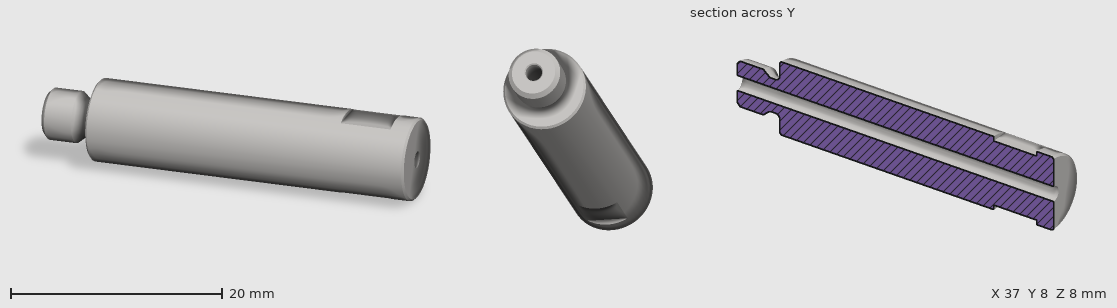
import cadquery as cq
import math

total_length = 37.0
body_diameter = 8.0
body_chamfer = 0.2

spigot_diameter = 5.0
spigot_length = 5.0
spigot_chamfer = 0.4
spigot_land_end = 3.1
neck_diameter = 3.7
neck_fillet = 0.48
runout_angle = math.radians(40)

bore_diameter = 1.6
bore_chamfer = 0.1

flat_spacing = 7.0
flat_length = 5.0
flat_end_distance = 2.0

body_radius = body_diameter / 2
spigot_radius = spigot_diameter / 2
neck_radius = neck_diameter / 2


def fillet_point(center_x, angle):
    """Point on a neck fillet, at an angle from straight down (positive towards +X)."""
    return (
        center_x + neck_fillet * math.sin(angle),
        neck_radius + neck_fillet * (1 - math.cos(angle)),
    )


def turned_pin():
    """Revolve the half profile of spigot, undercut and body."""
    fillet_rise = neck_fillet * (1 - math.cos(runout_angle))
    cone_length = (spigot_radius - neck_radius - fillet_rise) / math.tan(runout_angle)
    runout_center_x = spigot_land_end + cone_length + neck_fillet * math.sin(runout_angle)
    shoulder_center_x = spigot_length - neck_fillet

    profile = (
        cq.Workplane("XY")
        .moveTo(0, 0)
        .lineTo(0, spigot_radius - spigot_chamfer)
        .lineTo(spigot_chamfer, spigot_radius)
        .lineTo(spigot_land_end, spigot_radius)
        .lineTo(*fillet_point(runout_center_x, -runout_angle))
        .threePointArc(
            fillet_point(runout_center_x, -runout_angle / 2),
            fillet_point(runout_center_x, 0),
        )
        .lineTo(*fillet_point(shoulder_center_x, 0))
        .threePointArc(
            fillet_point(shoulder_center_x, math.pi / 4),
            fillet_point(shoulder_center_x, math.pi / 2),
        )
        .lineTo(spigot_length, body_radius - body_chamfer)
        .lineTo(spigot_length + body_chamfer, body_radius)
        .lineTo(total_length - body_chamfer, body_radius)
        .lineTo(total_length, body_radius - body_chamfer)
        .lineTo(total_length, 0)
        .close()
    )
    return profile.revolve(360, (0, 0, 0), (1, 0, 0))


def bore():
    """Through bore with a small chamfer at the spigot tip."""
    bore_radius = bore_diameter / 2
    return (
        cq.Workplane("XY")
        .moveTo(0, 0)
        .lineTo(0, bore_radius + bore_chamfer)
        .lineTo(bore_chamfer, bore_radius)
        .lineTo(total_length, bore_radius)
        .lineTo(total_length, 0)
        .close()
        .revolve(360, (0, 0, 0), (1, 0, 0))
    )


def flat_cutter(side):
    """Block that removes material outside one wrench flat; side is +1 or -1 along Z."""
    cut_depth = body_radius
    center_x = total_length - flat_end_distance - flat_length / 2
    center_z = side * (flat_spacing + cut_depth) / 2
    return (
        cq.Workplane("XY")
        .box(flat_length, body_diameter, cut_depth)
        .translate((center_x, 0, center_z))
    )


result = turned_pin().cut(bore())
for side in (1, -1):
    result = result.cut(flat_cutter(side))